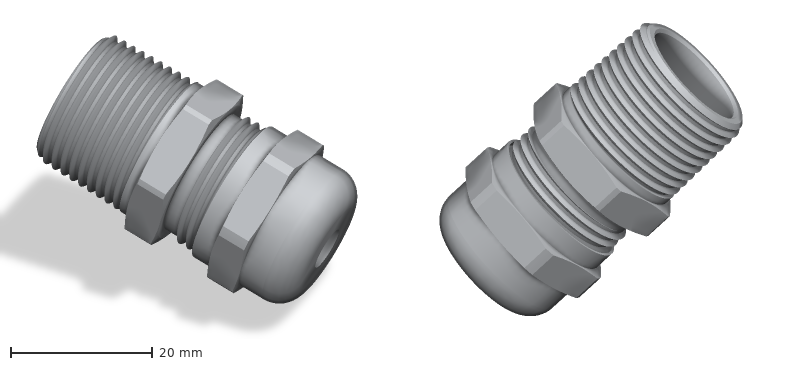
import cadquery as cq
import math


TILT = 17.5
HEX_TURN = -17.0

PITCH = 1.5
RIDGE_HEIGHT = 0.758
RIDGE_WIDTH = 1.0
ROOT_SINK = 0.15
END_TAPER = 0.024

COLLAR_START = 14.8
HOUSING_HEX_START = 16.1
HOUSING_HEX_END = 21.5
NECK_THREAD_START = 23.28
NECK_THREAD_ENTRY = 0.83
TAPER_CREST_PLACE = 1.25
NECK_CREST_PLACE = 23.7

MOUTH_RADIUS = 9.3
TAPER_ROOT_RADIUS = 9.6
COLLAR_RADIUS = 10.65
NECK_RADIUS = 18.95 / 2
BORE_RADIUS = 15.98 / 2
BORE_CHAMFER = 0.4
BORE_DEPTH = 12.45
LEDGE_FALL = 0.45

SEAL_RADIUS = 12.25 / 2
SEAL_START = 15.2
CABLE_RADIUS = 6.3 / 2

NUT_START = 27.05
NUT_HEX_START = 30.0
NUT_HEX_END = 35.0
NUT_END = 42.9
NUT_RADIUS = 21.6 / 2
NUT_MOUTH_RADIUS = 20.75 / 2
DOME_RADIUS = 4.05
DOME_START = NUT_END - DOME_RADIUS

ACROSS_FLATS = 22.0
HOUSING_CORNER_RADIUS = 12.45
NUT_CORNER_RADIUS = 12.25
BEVEL_RADIUS = 10.93
HEX_BEVEL = 0.5
NUT_BACK_BEVEL = 0.4
NUT_FRONT_BEVEL = 0.3


def turned(outline):
    """Solid of revolution about X from (x, radius) points."""
    return cq.Workplane("XY").polyline(outline).close().revolve(360, (0, 0, 0), (1, 0, 0))


def rod(start, end, radius):
    return cq.Workplane("YZ", origin=(start, 0, 0)).circle(radius).extrude(end - start)


def hexagon(start, end, corner_radius, start_bevel, end_bevel, bevel_radius):
    """Hexagon along X, its corners turned to corner_radius and both ends bevelled."""
    across_corners = ACROSS_FLATS / math.cos(math.radians(30))
    prism = (
        cq.Workplane("YZ", origin=(start, 0, 0))
        .polygon(6, across_corners)
        .extrude(end - start)
        .rotate((0, 0, 0), (1, 0, 0), HEX_TURN)
    )
    envelope = turned([
        (start, 0),
        (start, bevel_radius),
        (start + start_bevel, corner_radius),
        (end - end_bevel, corner_radius),
        (end, bevel_radius),
        (end, 0),
    ])
    return prism.intersect(envelope)


def thread_ridge(crest_place, start, end, root_radius, taper):
    """Right-hand helical ridge that covers start to end, with a crest at the top at crest_place.

    root_radius is taken at crest_place and grows by taper per unit of length.
    """
    turns_before = math.ceil((crest_place - start) / PITCH) + 1
    first = crest_place - turns_before * PITCH
    height = (math.ceil((end - first) / PITCH) + 1) * PITCH
    first_root = root_radius - taper * (crest_place - first)

    if taper:
        helix = cq.Wire.makeHelix(PITCH, height, first_root, angle=math.degrees(math.atan(taper)))
    else:
        helix = cq.Wire.makeHelix(PITCH, height, first_root)
    half_base = RIDGE_WIDTH / 2 * (1 + ROOT_SINK / RIDGE_HEIGHT)
    ridge = (
        cq.Workplane("XZ")
        .polyline([
            (first_root - ROOT_SINK, -half_base),
            (first_root + RIDGE_HEIGHT, 0),
            (first_root - ROOT_SINK, half_base),
        ])
        .close()
        .sweep(cq.Workplane(obj=helix), isFrenet=True)
    )
    return (
        ridge.rotate((0, 0, 0), (0, 1, 0), 90)
        .rotate((0, 0, 0), (1, 0, 0), 180)
        .translate((first, 0, 0))
    )


def tapered_end():
    """Conical threaded end, its mouth edge chamfered at 45 degrees through core and thread."""
    end_root = TAPER_ROOT_RADIUS + END_TAPER * COLLAR_START
    core = turned([(0, 0), (0, TAPER_ROOT_RADIUS), (COLLAR_START, end_root), (COLLAR_START, 0)])
    crest_root = TAPER_ROOT_RADIUS + END_TAPER * TAPER_CREST_PLACE
    ridge = thread_ridge(TAPER_CREST_PLACE, 0, COLLAR_START, crest_root, END_TAPER)
    limit = end_root + RIDGE_HEIGHT + 0.45
    envelope = turned([
        (0, 0),
        (0, MOUTH_RADIUS),
        (limit - MOUTH_RADIUS, limit),
        (COLLAR_START, limit),
        (COLLAR_START, 0),
    ])
    return core.intersect(envelope).union(ridge.intersect(envelope))


def threaded_neck():
    thread_end = NUT_START + NECK_THREAD_ENTRY
    ridge = thread_ridge(NECK_CREST_PLACE, NECK_THREAD_START, thread_end, NECK_RADIUS, 0)
    ridge = ridge.intersect(rod(NECK_THREAD_START, thread_end, NUT_RADIUS))
    return rod(HOUSING_HEX_END, DOME_START, NECK_RADIUS).union(ridge)


def make_housing():
    housing = (
        tapered_end()
        .union(rod(COLLAR_START, HOUSING_HEX_START, COLLAR_RADIUS))
        .union(hexagon(HOUSING_HEX_START, HOUSING_HEX_END, HOUSING_CORNER_RADIUS,
                       HEX_BEVEL, HEX_BEVEL, BEVEL_RADIUS))
        .union(threaded_neck())
    )
    bore = turned([
        (0, 0),
        (0, BORE_RADIUS + BORE_CHAMFER),
        (BORE_CHAMFER, BORE_RADIUS),
        (BORE_DEPTH, BORE_RADIUS),
        (BORE_DEPTH + LEDGE_FALL, SEAL_RADIUS),
        (DOME_START, SEAL_RADIUS),
        (DOME_START, 0),
    ])
    return housing.cut(bore)


def make_cap_nut():
    flat_radius = NUT_RADIUS - DOME_RADIUS
    diagonal = DOME_RADIUS * math.sqrt(0.5)
    body = (
        cq.Workplane("XY")
        .moveTo(NUT_START, 0)
        .lineTo(NUT_START, NUT_RADIUS)
        .lineTo(DOME_START, NUT_RADIUS)
        .threePointArc((DOME_START + diagonal, flat_radius + diagonal), (NUT_END, flat_radius))
        .lineTo(NUT_END, 0)
        .close()
        .revolve(360, (0, 0, 0), (1, 0, 0))
    )
    grip = hexagon(NUT_HEX_START, NUT_HEX_END, NUT_CORNER_RADIUS,
                   NUT_BACK_BEVEL, NUT_FRONT_BEVEL, NUT_RADIUS)
    return (
        body.union(grip)
        .cut(rod(NUT_START, NUT_START + NECK_THREAD_ENTRY, NUT_MOUTH_RADIUS))
        .cut(rod(NUT_START, DOME_START, NECK_RADIUS))
        .cut(rod(DOME_START, NUT_END, SEAL_RADIUS))
    )


def make_seal():
    return rod(SEAL_START, NUT_END, SEAL_RADIUS).cut(rod(SEAL_START, NUT_END, CABLE_RADIUS))


def tilted(body):
    return body.rotate((0, 0, 0), (0, 1, 0), TILT)


housing = tilted(make_housing())
cap_nut = tilted(make_cap_nut())
seal = tilted(make_seal())

result = cq.Compound.makeCompound([housing.val(), cap_nut.val(), seal.val()])